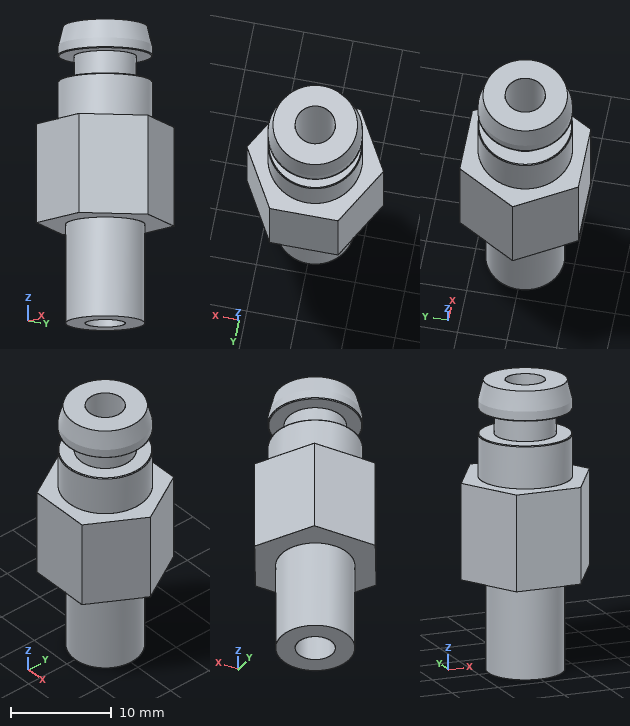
import cadquery as cq
import math

total_height = 30.0
stem_height = 10.0
hex_height = 10.02
collar_height = 4.45
neck_height = 2.55
rim_height = 1.0
rim_bottom = stem_height + hex_height + collar_height + neck_height
cone_height = total_height - rim_bottom - rim_height

stem_diameter = 7.9
hex_across_flats = 12.0
hex_across_corners = hex_across_flats / math.cos(math.pi / 6)
collar_diameter = 9.42
neck_diameter = 6.2
tip_diameter = 8.4
bore_diameter = 4.0
edge_chamfer = 0.1


def cylinder(diameter, height, bottom):
    return cq.Workplane("XY").workplane(offset=bottom).circle(diameter / 2).extrude(height)


stem = cylinder(stem_diameter, stem_height, 0)

hex_bottom = stem_height
hex_body = (
    cq.Workplane("XY")
    .workplane(offset=hex_bottom)
    .polygon(6, hex_across_corners)
    .extrude(hex_height)
)

collar_bottom = hex_bottom + hex_height
collar = cylinder(collar_diameter, collar_height, collar_bottom)
collar = collar.faces(">Z").edges().chamfer(edge_chamfer)

neck = cylinder(neck_diameter, neck_height, collar_bottom + collar_height)

rim = cylinder(collar_diameter, rim_height, rim_bottom)
rim = rim.faces("<Z").edges().chamfer(edge_chamfer)
cone = (
    cq.Workplane("XY")
    .workplane(offset=rim_bottom + rim_height)
    .circle(collar_diameter / 2)
    .workplane(offset=cone_height)
    .circle(tip_diameter / 2)
    .loft(ruled=True)
)

bore = cylinder(bore_diameter, total_height, 0)

result = stem.union(hex_body).union(collar).union(neck).union(rim).union(cone).cut(bore)